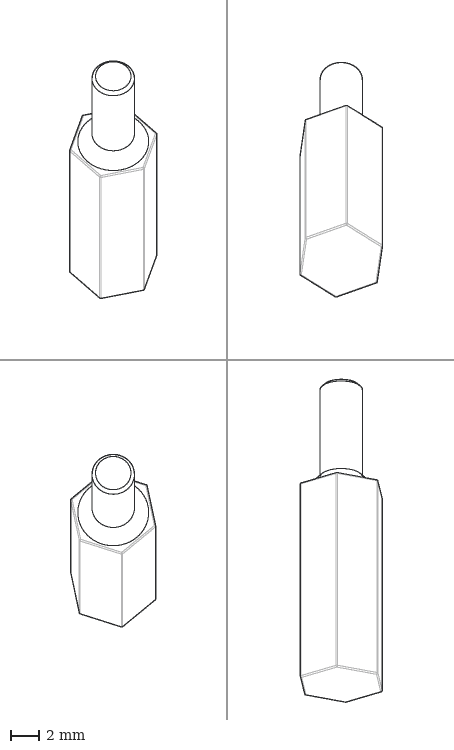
import cadquery as cq
import math

hex_across_flats = 5.5
hex_across_corners = hex_across_flats / math.cos(math.pi / 6)
hex_height = 15.0
hex_edge_radius = 0.1

stud_diameter = 3.0
stud_length = 8.0
stud_tip_chamfer = 0.25

cone_height = 1.0

stud_radius = stud_diameter / 2
cone_base_radius = stud_radius + cone_height
total_height = hex_height + stud_length


def make_hex_body():
    """Hexagonal prism with every edge lightly rounded."""
    prism = cq.Workplane("XY").polygon(6, hex_across_corners).extrude(hex_height)
    return prism.edges().fillet(hex_edge_radius)


def make_stud():
    """Round stud with a conical foot and a chamfered tip, revolved about Z."""
    profile = (
        cq.Workplane("XZ")
        .moveTo(0, hex_height)
        .lineTo(cone_base_radius, hex_height)
        .lineTo(stud_radius, hex_height + cone_height)
        .lineTo(stud_radius, total_height - stud_tip_chamfer)
        .lineTo(stud_radius - stud_tip_chamfer, total_height)
        .lineTo(0, total_height)
        .close()
    )
    return profile.revolve(360, (0, 0, 0), (0, 1, 0))


result = make_hex_body().union(make_stud())